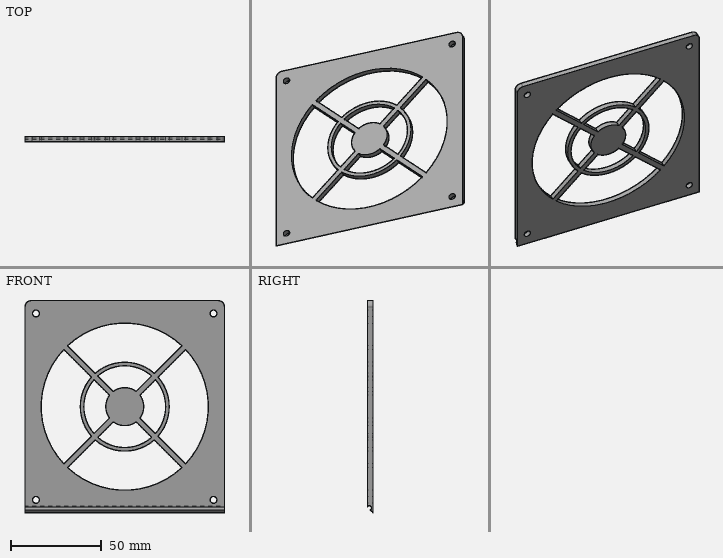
import cadquery as cq

width = 110.0
height = 117.0
thickness = 3.0
corner_radius = 3.5

opening_radius = 46.0
ring_outer_radius = 24.6
ring_inner_radius = 22.5
hub_radius = 10.5
spoke_width = 3.0
spoke_angles = (45, 135)

hole_diameter = 3.6
hole_spacing_x = 97.8
hole_spacing_z = 102.7

groove_radius = 1.2
web_behind_groove = 0.88
groove_from_back = web_behind_groove + groove_radius
groove_from_bottom = 2.7

back = thickness / 2
bottom = -height / 2


def disc(radius):
    """Full-thickness disc in the middle of the plate."""
    return cq.Workplane("XZ").circle(radius).extrude(back, both=True)


def make_plate():
    """Rectangular plate with its two upper corners rounded."""
    plate = cq.Workplane("XY").box(width, thickness, height)
    return plate.edges("|Y and >Z").fillet(corner_radius)


def make_guard():
    """Hub, ring and crossed spokes that fill the fan opening."""
    ring = disc(ring_outer_radius).cut(disc(ring_inner_radius))
    guard = ring.union(disc(hub_radius))
    for angle in spoke_angles:
        spoke = cq.Workplane("XY").box(2 * opening_radius, thickness, spoke_width)
        spoke = spoke.rotate((0, 0, 0), (0, 1, 0), angle)
        guard = guard.union(spoke.intersect(disc(opening_radius)))
    return guard


def make_screw_holes():
    """Cutters for the four corner screw holes."""
    return (
        cq.Workplane("XZ")
        .rarray(hole_spacing_x, hole_spacing_z, 2, 2)
        .circle(hole_diameter / 2)
        .extrude(back, both=True)
    )


def make_edge_bevel():
    """45 degree wedge that leaves a sharp lower edge on the back face."""
    return (
        cq.Workplane("YZ")
        .moveTo(back, bottom)
        .lineTo(-back, bottom)
        .lineTo(-back, bottom + thickness)
        .close()
        .extrude(width / 2, both=True)
    )


def make_edge_groove():
    """Round groove across the full width, open to the front face."""
    return (
        cq.Workplane("YZ")
        .center(back - groove_from_back, bottom + groove_from_bottom)
        .circle(groove_radius)
        .extrude(width / 2, both=True)
    )


plate = make_plate().cut(disc(opening_radius)).union(make_guard())
result = plate.cut(make_screw_holes()).cut(make_edge_bevel()).cut(make_edge_groove())